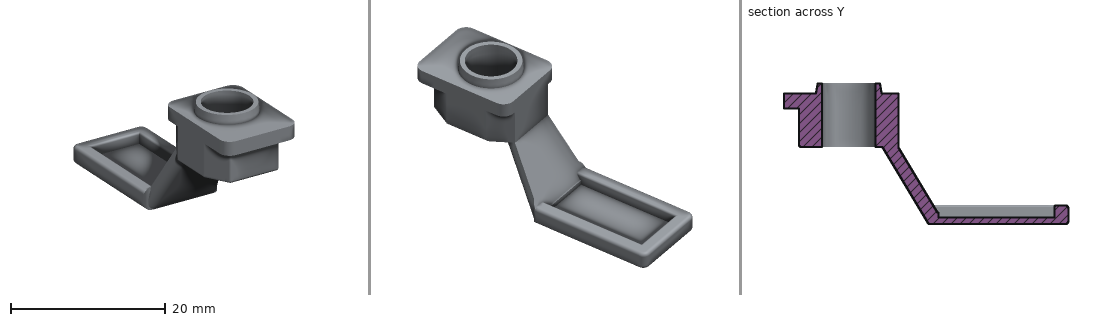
import cadquery as cq
import math

width = 11.3
half_width = width / 2

tray_length = 18.2
tray_height = 2.5
tray_corner_radius = 1.0
tray_edge_radius = 0.5
pocket_floor = 0.9
pocket_ledge = 1.6
pocket_start = 1.9
pocket_end = 16.87
pocket_width = 7.5
pocket_rim_radius = 0.3

arm_angle = 59.0
arm_thickness = 1.8
arm_edge_radius = 1.0

block_start = 22.1
block_length = 12.95
block_bottom = 10.0
block_corner_length = 3.4
end_half_width = 3.72
block_edge_radius = 0.35
flange_bottom = 15.0
flange_top = 17.0
flange_end = 37.0
flange_corner_radius = 1.55
collar_height = 1.29
collar_base_radius = 4.3
collar_top_radius = 4.07
bore_radius = 3.42
bore_x = 28.55

slope = math.radians(arm_angle)
arm_run = block_bottom / math.tan(slope)
arm_foot_x = block_start - arm_run


def arm_face_x(z):
    """X of the arm's upper face at height z."""
    return arm_foot_x + z / math.tan(slope)


def extrude_side_profile(points, depth):
    """Prism of an XZ outline, centred on Y = 0."""
    return cq.Workplane("XZ").polyline(points).close().extrude(depth / 2, both=True)


def rounded_plate(start, end, bottom, top, corner_radius):
    """Full-width plate with rounded vertical corners."""
    return (
        cq.Workplane("XY")
        .workplane(offset=bottom)
        .center((start + end) / 2, 0)
        .rect(end - start, width)
        .extrude(top - bottom)
        .edges("|Z")
        .fillet(corner_radius)
    )


def make_tray():
    """Plate whose top rounding follows all corners; the bottom rounding runs straight out at the arm."""
    plate = rounded_plate(0, tray_length, 0, tray_height, tray_corner_radius)
    plate = plate.faces(">Z").edges().fillet(tray_edge_radius)
    runout_end = tray_length + tray_corner_radius
    bottom_shape = rounded_plate(0, runout_end, 0, tray_height, tray_corner_radius)
    bottom_shape = bottom_shape.faces("<Z").edges().fillet(tray_edge_radius)
    return plate.intersect(bottom_shape)


def make_arm():
    """Tapered slab, rounded along its lower long edges and cut level at both ends."""
    slope_length = block_bottom / math.sin(slope)
    taper = (half_width - end_half_width) / slope_length
    overrun = arm_thickness / math.tan(slope)
    top_length = slope_length + overrun
    top_half_width = end_half_width - taper * overrun
    upper_face = cq.Plane(
        origin=(arm_foot_x, 0, 0),
        xDir=(math.cos(slope), 0, math.sin(slope)),
        normal=(-math.sin(slope), 0, math.cos(slope)),
    )
    outline = [
        (0, -half_width),
        (top_length, -top_half_width),
        (top_length, top_half_width),
        (0, half_width),
    ]
    slab = cq.Workplane(upper_face).polyline(outline).close().extrude(-arm_thickness)
    middle = cq.Vector(arm_foot_x + arm_run / 2, 0, block_bottom / 2)
    lower_middle = middle - upper_face.zDir * arm_thickness
    half_middle = (half_width + end_half_width) / 2
    for side in (-1, 1):
        near = lower_middle + cq.Vector(0, side * half_middle, 0)
        slab = slab.edges(cq.NearestToPointSelector(near.toTuple())).fillet(arm_edge_radius)
    return slab.intersect(arm_envelope())


def arm_envelope():
    """Space the arm may fill, from the end of the tray's straight sides up to the block."""
    straight_end = tray_length - tray_corner_radius
    root_z = (straight_end - arm_foot_x) * math.tan(slope)
    outline = [
        (straight_end, tray_edge_radius),
        (tray_length, 0),
        (tray_length + arm_run, block_bottom),
        (block_start, block_bottom),
        (straight_end, root_z),
    ]
    return extrude_side_profile(outline, width)


def make_arm_root():
    """Rounded end of the tray outline carried up to the arm's upper face."""
    column = rounded_plate(0, tray_length, 0, block_bottom, tray_corner_radius)
    return column.intersect(arm_envelope())


def cut_pocket(body):
    """Rectangular recess that opens over a narrow ledge onto the arm's upper face, with a rounded rim."""
    outline = [
        (pocket_start, pocket_floor),
        (pocket_end, pocket_floor),
        (pocket_end, pocket_ledge),
        (arm_face_x(pocket_ledge), pocket_ledge),
        (arm_face_x(tray_height), tray_height),
        (pocket_start, tray_height),
    ]
    body = body.cut(extrude_side_profile(outline, pocket_width))
    half_pocket = pocket_width / 2
    rail_middle = (pocket_start + pocket_end) / 2
    rim_points = [
        (pocket_start, 0, tray_height),
        (rail_middle, -half_pocket, tray_height),
        (rail_middle, half_pocket, tray_height),
    ]
    rim = cq.selectors.NearestToPointSelector(rim_points[0])
    for point in rim_points[1:]:
        rim = rim + cq.selectors.NearestToPointSelector(point)
    return body.edges(rim).fillet(pocket_rim_radius)


def make_block():
    """Block with four cut corners."""
    end = block_start + block_length
    first = block_start + block_corner_length
    last = end - block_corner_length
    outline = [
        (block_start, -end_half_width),
        (first, -half_width),
        (last, -half_width),
        (end, -end_half_width),
        (end, end_half_width),
        (last, half_width),
        (first, half_width),
        (block_start, end_half_width),
    ]
    block = (
        cq.Workplane("XY")
        .workplane(offset=block_bottom)
        .polyline(outline)
        .close()
        .extrude(flange_bottom - block_bottom)
    )
    rounded = cq.selectors.BoxSelector(
        (first - block_edge_radius, -width, block_bottom - block_edge_radius),
        (end + block_edge_radius, width, flange_bottom - block_edge_radius),
    )
    return block.edges(rounded).fillet(block_edge_radius)


def make_collar():
    return (
        cq.Workplane("XY", origin=(bore_x, 0, flange_top))
        .circle(collar_base_radius)
        .workplane(offset=collar_height)
        .circle(collar_top_radius)
        .loft()
    )


def cut_bore(body):
    depth = flange_top + collar_height - block_bottom
    bore = cq.Workplane("XY", origin=(bore_x, 0, block_bottom)).circle(bore_radius).extrude(depth)
    return body.cut(bore)


flange = rounded_plate(block_start, flange_end, flange_bottom, flange_top, flange_corner_radius)
socket = cut_bore(make_block().union(flange).union(make_collar()))
holder = cut_pocket(make_tray().union(make_arm_root()).union(make_arm()))
result = holder.union(socket)